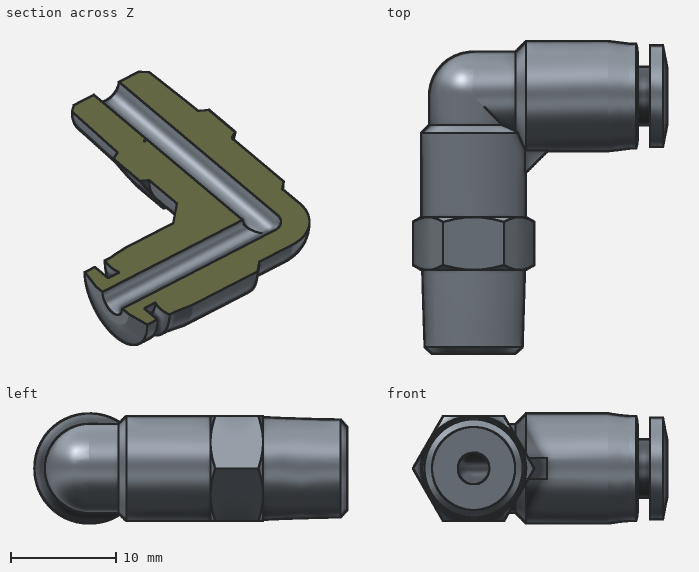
import cadquery as cq
import math


elbow_radius = 4.25
bore_radius = 1.5

sleeve_radius = 5.0
sleeve_start = 2.75
sleeve_chamfer = sleeve_radius - elbow_radius
hex_sides = 6
hex_across_flats = 10.0
hex_start = 11.5
hex_length = 5.0
hex_end = hex_start + hex_length
hex_corner_radius = hex_across_flats / (2 * math.cos(math.pi / hex_sides))
hex_chamfer_angle = 30.0
stem_end = 24.5
thread_radius = 4.9
thread_taper = 1 / 32
thread_chamfer_length = 0.65
thread_tip_radius = 3.95

socket_radius = 5.25
socket_start = 4.0
socket_chamfer = socket_radius - elbow_radius
taper_start = 12.8
taper_end = 14.8
collar_radius = 5.0
collar_end = 15.45
lip_bulge = 0.17

ring_neck_radius = 2.8
flange_radius = 4.85
flange_start = 16.75
flange_rim_end = 18.0
overall_length_x = 24.22
ring_end = overall_length_x - hex_corner_radius
ring_face_radius = 2.55

rib_thickness = 2.0
rib_leg = 2.0


def revolve_about_x(profile):
    """Turn (distance along +X, radius) points into a solid around the X axis."""
    outline = [(profile[0][0], 0), *profile, (profile[-1][0], 0)]
    return cq.Workplane("XY").polyline(outline).close().revolve(360, (0, 0, 0), (1, 0, 0))


def revolve_about_stem(profile):
    """Turn (distance along -Y, radius) points into a solid around the Y axis."""
    return revolve_about_x(profile).rotate((0, 0, 0), (0, 0, 1), -90)


def make_elbow(radius, stem_length, socket_length):
    """Two equal cylinders joined at the origin by a ball of the same radius."""
    ball = cq.Workplane("XY").sphere(radius)
    stem = revolve_about_stem([(0, radius), (stem_length, radius)])
    socket = revolve_about_x([(0, radius), (socket_length, radius)])
    return ball.union(stem).union(socket)


def make_sleeve():
    return revolve_about_stem([
        (sleeve_start, elbow_radius),
        (sleeve_start + sleeve_chamfer, sleeve_radius),
        (hex_start, sleeve_radius),
    ])


def make_hex():
    """Hexagon with corners on the X axis, its corners turned down at both ends."""
    prism = (
        cq.Workplane("XZ")
        .workplane(offset=hex_start)
        .polygon(hex_sides, 2 * hex_corner_radius)
        .extrude(hex_length)
    )
    flat_radius = hex_across_flats / 2
    chamfer_length = (hex_corner_radius - flat_radius) * math.tan(math.radians(hex_chamfer_angle))
    corner_cutter = revolve_about_stem([
        (hex_start, flat_radius),
        (hex_start + chamfer_length, hex_corner_radius),
        (hex_end - chamfer_length, hex_corner_radius),
        (hex_end, flat_radius),
    ])
    return prism.intersect(corner_cutter)


def make_thread():
    chamfer_start = stem_end - thread_chamfer_length
    thread_small_radius = thread_radius - thread_taper * (chamfer_start - hex_end)
    return revolve_about_stem([
        (hex_end, thread_radius),
        (chamfer_start, thread_small_radius),
        (stem_end, thread_tip_radius),
    ])


def make_socket():
    """Tapered barrel whose end face is a ring-shaped dome around the release ring."""
    lip_crest_radius = (collar_radius + ring_neck_radius) / 2
    return (
        cq.Workplane("XY")
        .moveTo(socket_start, 0)
        .lineTo(socket_start, elbow_radius)
        .lineTo(socket_start + socket_chamfer, socket_radius)
        .lineTo(taper_start, socket_radius)
        .lineTo(taper_end, collar_radius)
        .lineTo(collar_end, collar_radius)
        .threePointArc((collar_end + lip_bulge, lip_crest_radius), (collar_end, ring_neck_radius))
        .lineTo(collar_end, 0)
        .close()
        .revolve(360, (0, 0, 0), (1, 0, 0))
    )


def make_release_ring():
    return revolve_about_x([
        (collar_end, ring_neck_radius),
        (flange_start, ring_neck_radius),
        (flange_start, flange_radius),
        (flange_rim_end, flange_radius),
        (ring_end, ring_face_radius),
    ])


def make_rib():
    """Gusset filling the corner, with its sides buried in the sleeve and the socket."""
    buried_x = sleeve_radius / 2
    buried_y = -socket_radius / 2
    return (
        cq.Workplane("XY")
        .polyline([
            (buried_x, buried_y),
            (sleeve_radius + rib_leg, buried_y),
            (sleeve_radius + rib_leg, -socket_radius),
            (sleeve_radius, -socket_radius - rib_leg),
            (buried_x, -socket_radius - rib_leg),
        ])
        .close()
        .extrude(rib_thickness / 2, both=True)
    )


body = make_elbow(elbow_radius, sleeve_start, socket_start)
for section in (
    make_sleeve(),
    make_hex(),
    make_thread(),
    make_socket(),
    make_release_ring(),
    make_rib(),
):
    body = body.union(section)

result = body.cut(make_elbow(bore_radius, stem_end, ring_end))